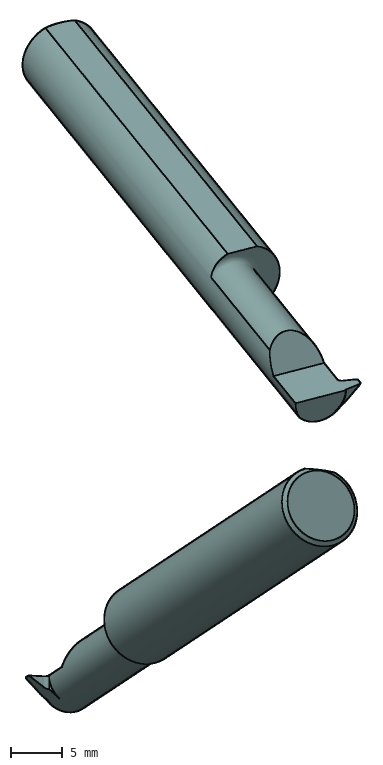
import cadquery as cq
import math

length = 63.5
shank_diameter = 7.95
shank_radius = shank_diameter / 2
shank_length = 42.55
flat_height = 7.6 - shank_radius
end_chamfer_length = 0.3
end_chamfer_depth = 0.45

neck_radius = 2.8
neck_side_y = 1.4
neck_center_y = neck_side_y - neck_radius
neck_fillet = 0.65

face_length = 5.1
face_start_x = length - face_length

tooth_tip_y = 3.2
tooth_tip_back_x = length - 1.3
tooth_tip_front_x = length - 0.45
tooth_root_back_x = length - 1.6
tooth_root_front_x = length - 0.095
tooth_root_fillet = 0.5
tooth_tip_fillet = 0.2


def shank_cylinder(bar_length):
    return cq.Workplane("YZ").circle(shank_radius).extrude(bar_length)


def make_shank():
    """Shank with a conical end and a flat along its top."""
    chamfered = shank_cylinder(shank_length).faces("<X").chamfer(end_chamfer_length, end_chamfer_depth)
    below_flat = cq.Workplane("XY").box(
        shank_length, shank_diameter, shank_radius + flat_height, centered=(False, True, False)
    ).translate((0, 0, -shank_radius))
    return chamfered.intersect(below_flat)


def make_neck():
    """Neck flaring into the shank shoulder through a concave fillet."""
    arc_offset = neck_fillet * (1 - math.sqrt(0.5))
    profile = (
        cq.Workplane("XY")
        .moveTo(shank_length, neck_center_y)
        .lineTo(shank_length, neck_side_y + neck_fillet)
        .threePointArc(
            (shank_length + arc_offset, neck_side_y + arc_offset),
            (shank_length + neck_fillet, neck_side_y),
        )
        .lineTo(length, neck_side_y)
        .lineTo(length, neck_center_y)
        .close()
    )
    neck = profile.revolve(360, (shank_length, neck_center_y), (length, neck_center_y))
    return neck.intersect(shank_cylinder(length))


def cut_face_clearance():
    """Material above the cutting face and its 45 degree ramp."""
    return (
        cq.Workplane("XZ")
        .moveTo(face_start_x, 0)
        .lineTo(length, 0)
        .lineTo(length, shank_radius)
        .lineTo(face_start_x - shank_radius, shank_radius)
        .close()
        .extrude(shank_radius, both=True)
    )


def make_tooth():
    """Tapered tooth with a relief plane under its tip."""
    arc_offset = tooth_root_fillet * (1 - math.sqrt(0.5))
    root_start_x = tooth_root_back_x - tooth_root_fillet
    outline = (
        cq.Workplane("XY")
        .moveTo(root_start_x, neck_center_y)
        .lineTo(root_start_x, neck_side_y)
        .threePointArc(
            (tooth_root_back_x - arc_offset, neck_side_y + arc_offset),
            (tooth_root_back_x, neck_side_y + tooth_root_fillet),
        )
        .lineTo(tooth_tip_back_x, tooth_tip_y)
        .lineTo(tooth_tip_front_x, tooth_tip_y)
        .lineTo(tooth_root_front_x, neck_side_y)
        .lineTo(tooth_root_front_x, neck_center_y)
        .close()
        .extrude(-neck_radius)
    )
    tip_edges = outline.faces(">Y").edges("|Z")
    tangent_angle = math.acos(neck_radius / (tooth_tip_y - neck_center_y))
    tangent_y = neck_center_y + neck_radius * math.cos(tangent_angle)
    tangent_z = -neck_radius * math.sin(tangent_angle)
    relieved_section = (
        cq.Workplane("YZ")
        .moveTo(neck_center_y, 0)
        .lineTo(tooth_tip_y, 0)
        .lineTo(tangent_y, tangent_z)
        .close()
        .extrude(length)
    )
    return tip_edges.fillet(tooth_tip_fillet).intersect(relieved_section)


neck = make_neck().cut(cut_face_clearance())
result = make_shank().union(neck).union(make_tooth())